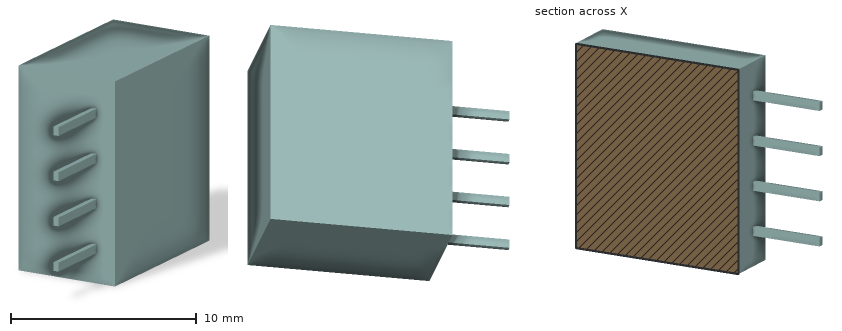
import cadquery as cq

body_width = 6.0
body_depth = 10.0
body_height = 11.5

pin_count = 4
pin_pitch = 2.54
pin_thickness = 0.3
pin_height = 0.5
total_depth = 14.1
pin_length = total_depth - body_depth
pin_center_x = 4.75
lowest_pin_z = 1.97


def make_body():
    return cq.Workplane("XY").box(body_width, body_depth, body_height, centered=False)


def make_pin(center_z):
    return (
        cq.Workplane("XZ")
        .center(pin_center_x, center_z)
        .rect(pin_thickness, pin_height)
        .extrude(pin_length)
    )


result = make_body()
for index in range(pin_count):
    result = result.union(make_pin(lowest_pin_z + index * pin_pitch))